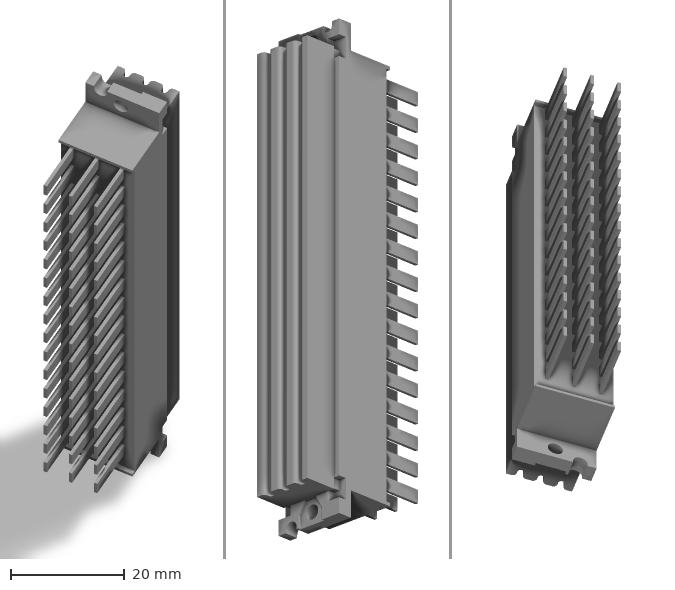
import cadquery as cq
import math

flange_length = 94.8
width = 14.8

plug_depth = 6.8
flange_thickness = 2.9
body_depth = 9.1
lip_depth = 0.9
pin_reach = 10.1

body_length = 84.3
plug_length = 84.8
plug_width = 12.3
lip_thickness = 0.7

groove_count = 3
groove_pitch = 3.8
groove_depth = 1.6
groove_radius = 0.6
groove_mouth_radius = 0.8

pin_rows = 16
pin_columns = 3
pin_row_span = 76.2
pin_column_pitch = 5.0
pin_width = 0.7
pin_height = 2.6
pin_center_z = 1.3

hole_diameter = 2.8
hole_end_distance = 2.5
hole_x = -0.3
notch_radius = 1.3
notch_center_inset = 0.5
notch_side_distance = 3.0
nut_side = 2.8
nut_recess_depth = 0.6
pocket_depth_y = 1.7
pocket_start = 3.0
pocket_end = 7.2
pocket_lower_reach = 1.5
pocket_upper_reach = 2.8

flange_front = -flange_thickness
body_front = flange_front - body_depth
flange_end = flange_length / 2
body_end = body_length / 2
hole_z = flange_end - hole_end_distance


def box(x_range, y_range, z_range):
    """Box given by its lower and upper limits along each axis."""
    limits = (x_range, y_range, z_range)
    sizes = [upper - lower for lower, upper in limits]
    corner = tuple(lower for lower, upper in limits)
    return cq.Workplane("XY").box(*sizes, centered=False).translate(corner)


def centered(size):
    return (-size / 2, size / 2)


def make_housing():
    """Flange, body with a lip across each end of its front face, and plug."""
    flange = box(centered(width), (flange_front, 0), centered(flange_length))
    body = box(centered(width), (body_front, 0), centered(body_length))
    plug = box(centered(plug_width), (0, plug_depth), centered(plug_length))
    housing = flange.union(body).union(plug)
    lip_y = (body_front - lip_depth, body_front)
    for lip_z in (
        (body_end - lip_thickness, body_end),
        (-body_end, lip_thickness - body_end),
    ):
        housing = housing.union(box(centered(width), lip_y, lip_z))
    return housing


def make_groove(center_x):
    """Full-length groove with a round bottom and a flared mouth in the plug face."""
    mouth = groove_radius + groove_mouth_radius
    flank_top = plug_depth - groove_mouth_radius
    bottom = plug_depth - groove_depth
    bottom_center = bottom + groove_radius
    flare = groove_mouth_radius * math.sqrt(0.5)
    flare_x = mouth - flare
    flare_y = flank_top + flare
    return (
        cq.Workplane("XY")
        .moveTo(-mouth, plug_depth)
        .threePointArc((-flare_x, flare_y), (-groove_radius, flank_top))
        .lineTo(-groove_radius, bottom_center)
        .threePointArc((0, bottom), (groove_radius, bottom_center))
        .lineTo(groove_radius, flank_top)
        .threePointArc((flare_x, flare_y), (mouth, plug_depth))
        .close()
        .extrude(plug_length / 2, both=True)
        .translate((center_x, 0, 0))
    )


def make_pins():
    row_pitch = pin_row_span / (pin_rows - 1)
    return (
        cq.Workplane("XZ", origin=(0, body_front, pin_center_z))
        .rarray(pin_column_pitch, row_pitch, pin_columns, pin_rows)
        .rect(pin_width, pin_height)
        .extrude(pin_reach)
    )


def make_screw_hole():
    return (
        cq.Workplane("XZ", origin=(hole_x, 0, hole_z))
        .circle(hole_diameter / 2)
        .extrude(flange_thickness)
    )


def make_notch():
    """Round-bottomed notch in the end edge, close to the -X side."""
    notch_x = notch_side_distance - width / 2
    round_z = flange_end - notch_center_inset
    round_bottom = (
        cq.Workplane("XZ", origin=(notch_x, 0, round_z))
        .circle(notch_radius)
        .extrude(flange_thickness)
    )
    mouth = box(
        (notch_x - notch_radius, notch_x + notch_radius),
        (flange_front, 0),
        (round_z, flange_end),
    )
    return round_bottom.union(mouth)


def make_nut_recess():
    """Rear recess with a half-hexagon bottom, open at the flange end."""
    flat_z = -nut_side * math.sqrt(3) / 2
    outline = [
        (-nut_side, hole_end_distance),
        (-nut_side, 0),
        (-nut_side / 2, flat_z),
        (nut_side / 2, flat_z),
        (nut_side, 0),
        (nut_side, hole_end_distance),
    ]
    return (
        cq.Workplane("XZ", origin=(hole_x, 0, hole_z))
        .polyline(outline)
        .close()
        .extrude(nut_recess_depth)
    )


def make_side_pocket(side):
    """Stepped pocket at the rear corner, deeper beyond the end of the body."""
    pocket_y = (-pocket_depth_y, 0)
    side_x = side * width / 2

    def step(reach, z_range):
        x_range = sorted((side_x, side_x - side * reach))
        return box(x_range, pocket_y, z_range)

    lower = step(pocket_lower_reach, (flange_end - pocket_end, body_end))
    upper = step(pocket_upper_reach, (body_end, flange_end - pocket_start))
    return lower.union(upper)


housing = make_housing()

for index in range(groove_count):
    groove_x = (index - (groove_count - 1) / 2) * groove_pitch
    housing = housing.cut(make_groove(groove_x))

turned_cuts = make_notch().union(make_side_pocket(-1)).union(make_side_pocket(1))
for turn in (0, 180):
    housing = housing.cut(turned_cuts.rotate((0, 0, 0), (0, 1, 0), turn))

for cutter in (make_screw_hole(), make_nut_recess()):
    housing = housing.cut(cutter).cut(cutter.mirror("XY"))

result = housing.union(make_pins())